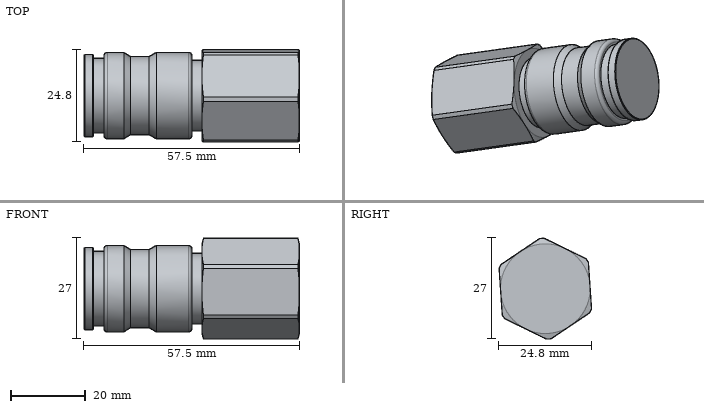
import cadquery as cq
import math

TOTAL_LENGTH = 57.5

FLANGE_RADIUS = 22.0 / 2
FLANGE_LENGTH = 2.5
FLANGE_CHAMFER = 0.2
FRONT_SHANK_RADIUS = 20.0 / 2
NECK_RADIUS = 19.0 / 2

HEX_START = 31.45
HEX_ACROSS_FLATS = 24.0
HEX_CORNER_RADIUS = 27.0 / 2
HEX_TILT = 3.9
HEX_CHAMFER_ANGLE = 15.0

SLEEVE_START = 5.25
SLEEVE_END = 28.8
BAND_RADIUS = 23.2 / 2
WAIST_RADIUS = 21.0 / 2
FRONT_BAND_END = 10.6
WAIST_START = 12.3
WAIST_END = 17.35
REAR_BAND_START = 19.25
RIM_RADIUS = 1.0

SHOULDER = REAR_BAND_START


def revolve_about_x(profile):
    """Turn a closed XY profile (X along the axis, Y the radius) around the X axis."""
    return profile.close().revolve(360, (0, 0, 0), (1, 0, 0))


def make_shank():
    """Flange and stepped round shank, up to the hexagon."""
    return revolve_about_x(
        cq.Workplane("XY")
        .moveTo(0, 0)
        .lineTo(0, FLANGE_RADIUS - FLANGE_CHAMFER)
        .lineTo(FLANGE_CHAMFER, FLANGE_RADIUS)
        .lineTo(FLANGE_LENGTH - FLANGE_CHAMFER, FLANGE_RADIUS)
        .lineTo(FLANGE_LENGTH, FLANGE_RADIUS - FLANGE_CHAMFER)
        .lineTo(FLANGE_LENGTH, FRONT_SHANK_RADIUS)
        .lineTo(SHOULDER, FRONT_SHANK_RADIUS)
        .lineTo(SHOULDER, NECK_RADIUS)
        .lineTo(HEX_START, NECK_RADIUS)
        .lineTo(HEX_START, 0)
    )


def make_hexagon():
    """Tilted hexagon with turned corners and conical chamfers at both ends."""
    face_radius = HEX_ACROSS_FLATS / 2
    chamfer_length = (HEX_CORNER_RADIUS - face_radius) * math.tan(math.radians(HEX_CHAMFER_ANGLE))
    sharp_diameter = HEX_ACROSS_FLATS / math.cos(math.radians(30))
    first_corner_angle = 90 + HEX_TILT

    prism = (
        cq.Workplane("YZ", origin=(HEX_START, 0, 0))
        .polygon(6, sharp_diameter)
        .extrude(TOTAL_LENGTH - HEX_START)
        .rotate((0, 0, 0), (1, 0, 0), first_corner_angle)
    )
    envelope = revolve_about_x(
        cq.Workplane("XY")
        .moveTo(HEX_START, 0)
        .lineTo(HEX_START, face_radius)
        .lineTo(HEX_START + chamfer_length, HEX_CORNER_RADIUS)
        .lineTo(TOTAL_LENGTH - chamfer_length, HEX_CORNER_RADIUS)
        .lineTo(TOTAL_LENGTH, face_radius)
        .lineTo(TOTAL_LENGTH, 0)
    )
    return prism.intersect(envelope)


def make_core():
    return make_shank().union(make_hexagon())


def make_sleeve():
    """Waisted sleeve with rounded end rims, fitting closely on the stepped shank."""
    return revolve_about_x(
        cq.Workplane("XY")
        .moveTo(SLEEVE_START, FRONT_SHANK_RADIUS)
        .lineTo(SLEEVE_START, BAND_RADIUS - RIM_RADIUS)
        .radiusArc((SLEEVE_START + RIM_RADIUS, BAND_RADIUS), RIM_RADIUS)
        .lineTo(FRONT_BAND_END, BAND_RADIUS)
        .lineTo(WAIST_START, WAIST_RADIUS)
        .lineTo(WAIST_END, WAIST_RADIUS)
        .lineTo(REAR_BAND_START, BAND_RADIUS)
        .lineTo(SLEEVE_END - RIM_RADIUS, BAND_RADIUS)
        .radiusArc((SLEEVE_END, BAND_RADIUS - RIM_RADIUS), RIM_RADIUS)
        .lineTo(SLEEVE_END, NECK_RADIUS)
        .lineTo(SHOULDER, NECK_RADIUS)
        .lineTo(SHOULDER, FRONT_SHANK_RADIUS)
    )


core = make_core()
sleeve = make_sleeve()

result = cq.Compound.makeCompound([core.val(), sleeve.val()])